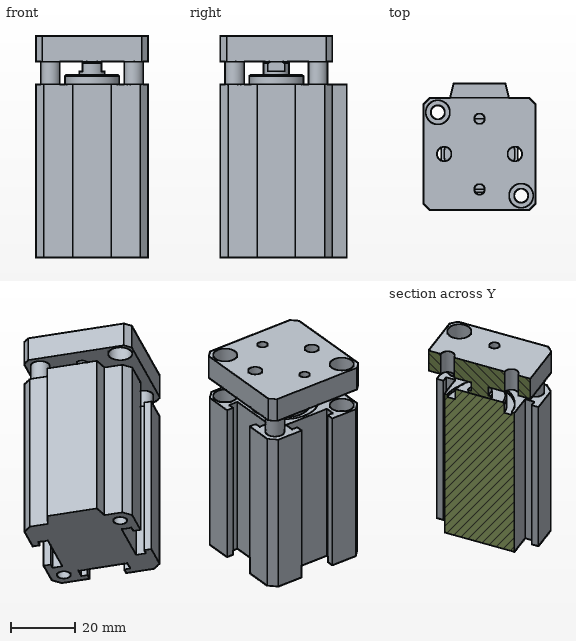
import cadquery as cq

side = 35.0
total_height = 69.0
plate_thickness = 8.0
rod_gap = 7.05
plate_bottom = total_height - plate_thickness
housing_height = plate_bottom - rod_gap

corner_offset = 13.0
guide_corners = [(-corner_offset, -corner_offset), (corner_offset, corner_offset)]
mount_corners = [(-corner_offset, corner_offset), (corner_offset, -corner_offset)]

housing_chamfer = 2.5
slot_opening = 11.9
slot_depth = 5.5
lip_thickness = 2.35
slot_undercut = 2.0
rail_height = 4.5
rail_base_width = 18.4
rail_top_width = 16.15
mount_bore_diameter = 4.3
counterbore_diameter = 7.5
counterbore_depth = 4.5
recess_diameter = 22.0
recess_depth = 1.0
collar_diameter = 17.0
collar_height = 3.0
collar_chamfer = 0.5

plate_chamfer = 2.0
guide_diameter = 6.0
piston_rod_diameter = 8.0
piston_rod_chamfer = 0.5
flats_width = 6.0
flats_start = 4.0
hole_circle_radius = 11.0
wide_hole_diameter = 4.5
narrow_hole_diameter = 3.25


def chamfered_square(height, chamfer):
    block = cq.Workplane("XY").box(side, side, height, centered=(True, True, False))
    return block.edges("|Z").chamfer(chamfer)


def cylinders(points, diameter, bottom, height):
    """Equal vertical cylinders standing on the level `bottom`."""
    return cq.Workplane("XY").workplane(offset=bottom).pushPoints(points).circle(diameter / 2).extrude(height)


def t_slot(angle):
    """Full-height T-slot cutter for the -Y face, turned about Z by `angle`."""
    opening = cq.Workplane("XY").box(
        slot_opening, slot_depth, housing_height, centered=(True, False, False)
    )
    chamber = cq.Workplane("XY").box(
        slot_opening + 2 * slot_undercut, slot_depth - lip_thickness, housing_height,
        centered=(True, False, False),
    )
    cutter = opening.union(chamber.translate((0, lip_thickness, 0)))
    return cutter.translate((0, -side / 2, 0)).rotate((0, 0, 0), (0, 0, 1), angle)


def tapered_rail():
    """Rail along the +Y face, narrowing outwards."""
    face_y = side / 2
    outline = [
        (-rail_base_width / 2, face_y),
        (rail_base_width / 2, face_y),
        (rail_top_width / 2, face_y + rail_height),
        (-rail_top_width / 2, face_y + rail_height),
    ]
    return cq.Workplane("XY").polyline(outline).close().extrude(housing_height)


def make_housing():
    body = chamfered_square(housing_height, housing_chamfer).union(tapered_rail())

    for angle in (0, 90, -90):
        body = body.cut(t_slot(angle))

    counterbore_floor = housing_height - counterbore_depth
    body = body.cut(cylinders(mount_corners, mount_bore_diameter, 0, housing_height))
    body = body.cut(cylinders(mount_corners, counterbore_diameter, counterbore_floor, counterbore_depth))

    recess_floor = housing_height - recess_depth
    body = body.cut(cylinders([(0, 0)], recess_diameter, recess_floor, recess_depth))
    collar = cylinders([(0, 0)], collar_diameter, recess_floor, recess_depth + collar_height)
    return body.union(collar.faces(">Z").edges().chamfer(collar_chamfer))


def make_piston_rod():
    """Rod from the collar to the plate, with two flats across X."""
    rod_bottom = housing_height + collar_height
    rod = cylinders([(0, 0)], piston_rod_diameter, rod_bottom, plate_bottom - rod_bottom)
    rod = rod.faces(">Z").edges().chamfer(piston_rod_chamfer)
    cheek_centre = flats_width / 2 + piston_rod_diameter / 2
    flats_height = rod_gap - flats_start
    for direction in (-1, 1):
        cheek = cq.Workplane("XY").box(
            piston_rod_diameter, 2 * piston_rod_diameter, flats_height, centered=(True, True, False)
        )
        rod = rod.cut(cheek.translate((direction * cheek_centre, 0, housing_height + flats_start)))
    return rod


def make_moving_plate():
    plate = chamfered_square(plate_thickness, plate_chamfer).translate((0, 0, plate_bottom))

    holes = [
        (mount_corners, counterbore_diameter),
        ([(-hole_circle_radius, 0), (hole_circle_radius, 0)], wide_hole_diameter),
        ([(0, -hole_circle_radius), (0, hole_circle_radius)], narrow_hole_diameter),
    ]
    for points, diameter in holes:
        plate = plate.cut(cylinders(points, diameter, plate_bottom, plate_thickness))

    guide_rods = cylinders(guide_corners, guide_diameter, housing_height, rod_gap)
    return plate.union(guide_rods).union(make_piston_rod())


housing = make_housing()
moving_plate = make_moving_plate()

result = cq.Compound.makeCompound([housing.val(), moving_plate.val()])